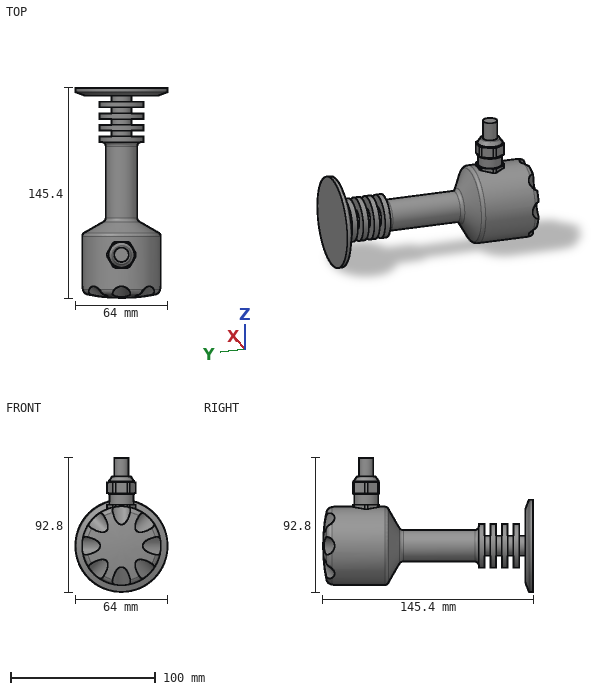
import cadquery as cq
import math

total_length = 145.4

flange_diameter = 64.0
flange_rim_length = 2.9
flange_face_diameter = 50.3
flange_thickness = 5.5
flange_rim_fillet = 0.7

neck_diameter = 14.0
fin_diameter = 30.5
fin_count = 4
fin_pitch = 8.0
fin_thickness = fin_pitch / 2
first_fin_start = flange_thickness + fin_pitch - fin_thickness
fins_end = first_fin_start + (fin_count - 1) * fin_pitch + fin_thickness

tube_diameter = 22.0
tube_root_fillet = 2.9
head_diameter = 54.5
shoulder_start = 91.6
shoulder_angle = 30.0
shoulder_fillet = 3.0
dome_rise = 3.0
head_rim_fillet = 3.9
head_radius = head_diameter / 2
shoulder_rise = (head_diameter - tube_diameter) / 2 * math.tan(math.radians(shoulder_angle))
shoulder_end = shoulder_start + shoulder_rise
dome_start = total_length - dome_rise

grip_count = 8
grip_diameter = 15.3
grip_tilt = 30.0
grip_rim_position = 137.3
grip_cutter_length = 58.2

gland_position = 115.5
hex_flats = 18.3
hex_corner_diameter = 20.0
gland_body_diameter = 16.7
gland_collar_diameter = 17.7
gland_tip_diameter = 12.0
cable_diameter = 10.0
gland_base = 21.8
lower_hex_top = 28.5
collar_bottom = 35.6
nut_bottom = 36.5
nut_top = 43.9
collar_top = 44.6
gland_top = 48.0
cable_top = 60.8
gland_tip_fillet = 0.5


def revolve_profile(profile):
    """Revolve a closed XY profile around the main axis."""
    return profile.close().revolve(360, (0, 0, 0), (0, 1, 0))


def circle_edges(body, position, diameter):
    """Select the circular edge of the given diameter at a position along the main axis."""
    radius = diameter / 2
    tolerance = 0.01
    corner = (radius + tolerance, tolerance - position, radius + tolerance)
    opposite = (-radius - tolerance, -position - tolerance, -radius - tolerance)
    candidates = body.edges(cq.selectors.BoxSelector(opposite, corner, boundingbox=True))
    return candidates.edges(cq.selectors.RadiusNthSelector(-1))


def make_flange():
    flange = revolve_profile(
        cq.Workplane("XY")
        .lineTo(flange_diameter / 2, 0)
        .lineTo(flange_diameter / 2, -flange_rim_length)
        .lineTo(flange_face_diameter / 2, -flange_thickness)
        .lineTo(0, -flange_thickness)
    )
    return circle_edges(flange, flange_rim_length, flange_diameter).fillet(flange_rim_fillet)


def make_disc(start, end, diameter):
    """Make a disc on the main axis between two positions."""
    return cq.Workplane("XZ", origin=(0, -start, 0)).circle(diameter / 2).extrude(end - start)


def make_finned_neck():
    neck = make_disc(0, fins_end, neck_diameter)
    for index in range(fin_count):
        start = first_fin_start + index * fin_pitch
        neck = neck.union(make_disc(start, start + fin_thickness, fin_diameter))
    return neck


def make_head():
    """Make the tube, conical shoulder and domed head with rounded transitions."""
    tube_radius = tube_diameter / 2
    dome_radius = (head_radius**2 + dome_rise**2) / (2 * dome_rise)
    middle_drop = dome_radius - math.sqrt(dome_radius**2 - (head_radius / 2) ** 2)
    flare_radius = tube_radius + tube_root_fillet
    flare_shift = tube_root_fillet * (1 - math.sqrt(0.5))
    head = revolve_profile(
        cq.Workplane("XY")
        .moveTo(0, -fins_end)
        .lineTo(flare_radius, -fins_end)
        .threePointArc(
            (tube_radius + flare_shift, -fins_end - flare_shift),
            (tube_radius, -fins_end - tube_root_fillet),
        )
        .lineTo(tube_radius, -shoulder_start)
        .lineTo(head_radius, -shoulder_end)
        .lineTo(head_radius, -dome_start)
        .threePointArc((head_radius / 2, -total_length + middle_drop), (0, -total_length))
    )
    head = circle_edges(head, shoulder_start, tube_diameter).fillet(shoulder_fillet)
    head = circle_edges(head, shoulder_end, head_diameter).fillet(shoulder_fillet)
    return circle_edges(head, dome_start, head_diameter).fillet(head_rim_fillet)


def cut_grips(head):
    """Cut tilted cylindrical scallops whose deepest line meets the head side at the rim position."""
    tilt = math.radians(grip_tilt)
    axis_direction = cq.Vector(0, math.sin(tilt), math.cos(tilt))
    outward = cq.Vector(0, -math.cos(tilt), math.sin(tilt))
    rim_point = cq.Vector(0, -grip_rim_position, head_radius)
    start = rim_point + outward * (grip_diameter / 2) - axis_direction * (grip_cutter_length / 2)
    cutter = cq.Workplane(
        cq.Solid.makeCylinder(grip_diameter / 2, grip_cutter_length, start, axis_direction)
    )
    for index in range(grip_count):
        angle = index * 360 / grip_count
        head = head.cut(cutter.rotate((0, 0, 0), (0, 1, 0), angle))
    return head


def gland_plane(height):
    return cq.Workplane("XY", origin=(0, -gland_position, height))


def make_gland_cylinder(bottom, top, diameter):
    return gland_plane(bottom).circle(diameter / 2).extrude(top - bottom)


def make_hexagon(bottom, top):
    """Make a hexagon with its corners turned to a cylinder and two corners on the X direction."""
    across_corners = hex_flats / math.cos(math.pi / 6)
    prism = gland_plane(bottom).polygon(6, across_corners).extrude(top - bottom)
    return prism.intersect(make_gland_cylinder(bottom, top, hex_corner_diameter))


def make_gland():
    tip_cone = (
        gland_plane(collar_top)
        .circle(gland_collar_diameter / 2)
        .workplane(offset=gland_top - collar_top)
        .circle(gland_tip_diameter / 2 + gland_tip_fillet)
        .loft()
        .faces(">Z")
        .edges()
        .fillet(gland_tip_fillet)
    )
    return (
        make_hexagon(gland_base, lower_hex_top)
        .union(make_gland_cylinder(gland_base, collar_bottom, gland_body_diameter))
        .union(make_gland_cylinder(collar_bottom, collar_top, gland_collar_diameter))
        .union(make_hexagon(nut_bottom, nut_top))
        .union(tip_cone)
        .union(make_gland_cylinder(gland_base, cable_top, cable_diameter))
    )


result = make_flange().union(make_finned_neck()).union(cut_grips(make_head())).union(make_gland())